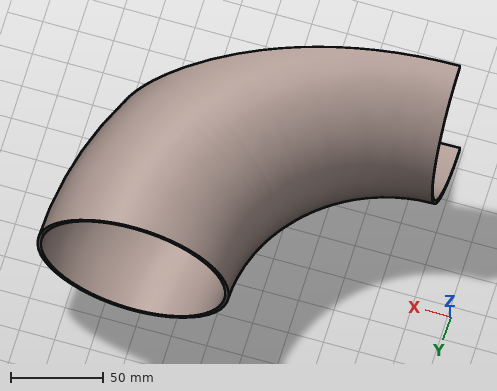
import cadquery as cq

overall_length = 196.5
pipe_diameter = 108.0
wall = 2.0
bend_angle = 90

pipe_radius = pipe_diameter / 2
bend_radius = overall_length - pipe_radius


def bent_rod(radius):
    """Solid quarter bend about the Z axis, from the X = 0 plane to the Y = 0 plane."""
    section = cq.Workplane("XZ").center(bend_radius, 0).circle(radius)
    return section.revolve(bend_angle, (-bend_radius, 0), (-bend_radius, -1))


def saddle_cutter():
    """Block beyond the mitre between the bend and an equal straight pipe along X.

    Points equally far from the bend's centre arc and from the straight pipe's axis
    lie on the parabola y = x^2 / (4 * bend_radius) - bend_radius, at every height.
    """
    vertex_y = -bend_radius
    end_x = overall_length
    end_y = end_x**2 / (4 * bend_radius) - bend_radius
    outer_y = -bend_radius - pipe_diameter

    parabola = [(0, vertex_y), (end_x / 2, vertex_y), (end_x, end_y)]
    return (
        cq.Workplane("XY", origin=(0, 0, -pipe_diameter))
        .moveTo(0, vertex_y)
        .bezier(parabola)
        .lineTo(end_x, outer_y)
        .lineTo(0, outer_y)
        .close()
        .extrude(2 * pipe_diameter)
    )


elbow = bent_rod(pipe_radius).cut(bent_rod(pipe_radius - wall))
result = elbow.cut(saddle_cutter())